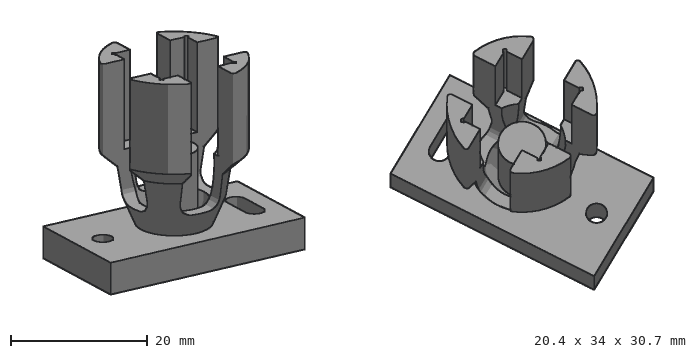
import cadquery as cq

plate_width = 18.0
plate_length = 34.0
plate_height = 5.0
mount_offset = 12.45
hole_diameter = 3.1
slot_length = 7.95

total_height = 30.65
bend_height = 9.45
shoulder_base_height = 14.1
seat_height = 16.6

outer_foot_radius = 5.75
outer_arc_radius = 6.65
outer_bend_radius = 7.6
outer_neck_radius = 8.35
inner_foot_radius = 3.5
inner_arc_radius = 5.5
inner_seat_radius = 6.35
outer_arc_height = 7.15

finger_radius = 10.98
finger_edge_fillet = 0.45
gap_width = 7.0
gap_floor_height = 8.65
gap_floor_fillet = 2.0

seat_width = 12.7
relief_radius = 0.3


def revolved(profile):
    """Turn a closed radius-height profile about the Z axis."""
    return profile.close().revolve(360, (0, 0, 0), (0, 1, 0))


def make_plate():
    plate = cq.Workplane("XY").box(
        plate_width, plate_length, plate_height, centered=(True, True, False)
    )
    hole = cq.Workplane("XY").center(0, -mount_offset).circle(hole_diameter / 2).extrude(plate_height)
    slot = cq.Workplane("XY").center(0, mount_offset).slot2D(slot_length, hole_diameter).extrude(plate_height)
    return plate.cut(hole).cut(slot)


def make_outer_body():
    return revolved(
        cq.Workplane("XZ")
        .moveTo(0, plate_height)
        .lineTo(outer_foot_radius, plate_height)
        .threePointArc((outer_arc_radius, outer_arc_height), (outer_bend_radius, bend_height))
        .lineTo(outer_neck_radius, shoulder_base_height)
        .lineTo(finger_radius, seat_height)
        .lineTo(finger_radius, total_height)
        .lineTo(0, total_height)
    )


def make_bowl_cavity():
    return revolved(
        cq.Workplane("XZ")
        .moveTo(0, plate_height)
        .lineTo(inner_foot_radius, plate_height)
        .threePointArc((inner_arc_radius, bend_height), (inner_seat_radius, seat_height))
        .lineTo(0, seat_height)
    )


def make_seat_cavity():
    """Square pocket with a round relief along each vertical corner."""
    depth = total_height - seat_height
    seat = cq.Workplane("XY", origin=(0, 0, seat_height))
    pocket = seat.rect(seat_width, seat_width).extrude(depth)
    reliefs = (
        seat.rect(seat_width, seat_width, forConstruction=True)
        .vertices()
        .circle(relief_radius)
        .extrude(depth)
    )
    return pocket.union(reliefs)


def make_gap():
    """Cutter along Y with a flat floor and rounded lower edges."""
    return (
        cq.Workplane("XY", origin=(0, 0, gap_floor_height))
        .rect(gap_width, 2 * finger_radius + gap_width)
        .extrude(total_height - gap_floor_height)
        .edges("|Y and <Z")
        .fillet(gap_floor_fillet)
    )


def make_finger_envelope():
    """Four rounded quarter sectors that soften the vertical finger edges."""
    height = total_height - plate_height
    base = cq.Workplane("XY", origin=(0, 0, plate_height))
    span = 2 * finger_radius
    disc = base.circle(finger_radius).extrude(height)
    cross = base.rect(gap_width, span).extrude(height).union(base.rect(span, gap_width).extrude(height))
    sectors = disc.cut(cross)
    outer_edges = sectors.edges("|Z").filter(
        lambda edge: edge.Center().toTuple()[0] ** 2 + edge.Center().toTuple()[1] ** 2 > gap_width**2
    )
    sectors = outer_edges.fillet(finger_edge_fillet)
    core = base.circle(outer_neck_radius).extrude(height)
    return sectors.union(core)


def make_holder():
    gap = make_gap()
    return (
        make_outer_body()
        .intersect(make_finger_envelope())
        .cut(make_bowl_cavity())
        .cut(make_seat_cavity())
        .cut(gap)
        .cut(gap.rotate((0, 0, 0), (0, 0, 1), 90))
    )


def make_centre_pin():
    return cq.Workplane("XY").circle(inner_foot_radius).extrude(seat_height)


result = make_plate().union(make_holder()).union(make_centre_pin())